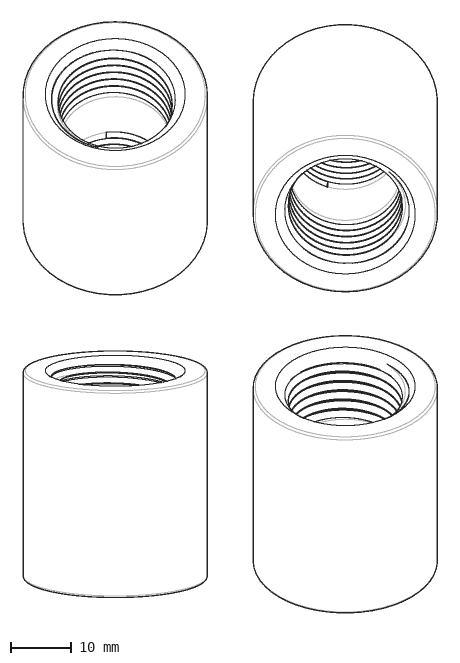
import cadquery as cq
import math

outer_diameter = 30.48
length = 35.05
rim_radius = 0.37

bore_radius = 9.1
mouth_radius = 11.56

millimetres_per_inch = 25.4
turns_per_inch = 14
pitch = millimetres_per_inch / turns_per_inch
taper_slope = 1 / 32
taper_length = 12.7
thread_depth = 1.1
crest_flat = 0.16
flank_angle = 33.0
first_root_depth = 1.0
first_root_angle = -115.0
turns_below_root = 6
turns_above_root = 1
groove_overlap = 0.3

top = length / 2
groove_half_width = (pitch - crest_flat) / 2
root_half_width = groove_half_width - thread_depth * math.tan(math.radians(flank_angle))


def crest_radius(depth):
    """Radius of the tapered bore at a depth below the top face."""
    return bore_radius + (taper_length - depth) * taper_slope


def make_body():
    """Plain cylinder with both rims rounded."""
    blank = cq.Workplane("XY").circle(outer_diameter / 2).extrude(length)
    return blank.translate((0, 0, -top)).edges().fillet(rim_radius)


def make_bore():
    """Revolved half profile of the bore: lead-in, taper, straight middle, and the same below."""
    lead_in_depth = (mouth_radius - crest_radius(0)) / (1 - taper_slope)
    lead_in_end = crest_radius(lead_in_depth)
    upper = [
        (mouth_radius, top),
        (lead_in_end, top - lead_in_depth),
        (bore_radius, top - taper_length),
    ]
    lower = [(radius, -z) for radius, z in reversed(upper)]
    profile = [(0, top)] + upper + lower + [(0, -top)]
    return cq.Workplane("XZ").polyline(profile).close().revolve(360, (0, 0), (0, 1))


def make_thread_groove():
    """Right-hand tapered groove of the upper thread, entering above the end face."""
    end_depth = first_root_depth + turns_below_root * pitch
    height = (turns_below_root + turns_above_root) * pitch
    end_radius = crest_radius(end_depth)
    taper_angle = math.degrees(math.atan(taper_slope))
    path = cq.Wire.makeHelix(pitch, height, end_radius, angle=taper_angle)
    inner = end_radius - groove_overlap
    outer = end_radius + thread_depth
    section = [
        (inner, -groove_half_width),
        (end_radius, -groove_half_width),
        (outer, -root_half_width),
        (outer, root_half_width),
        (end_radius, groove_half_width),
        (inner, groove_half_width),
    ]
    groove = cq.Workplane("XZ").polyline(section).close().sweep(cq.Workplane(path), isFrenet=True)
    turned = groove.rotate((0, 0, 0), (0, 0, 1), first_root_angle)
    return turned.translate((0, 0, top - end_depth))


upper_groove = make_thread_groove()
lower_groove = upper_groove.rotate((0, 0, 0), (1, 0, 0), 180)
coupling = make_body().cut(make_bore()).cut(upper_groove).cut(lower_groove)
result = coupling.solids()